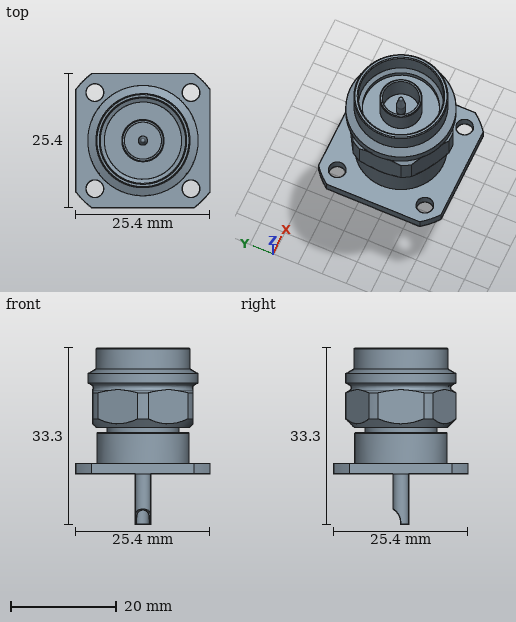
import cadquery as cq
import math


TOTAL_HEIGHT = 33.33

FLANGE_SIDE = 25.4
FLANGE_THICKNESS = 2.0
FLANGE_CORNER_DIAMETER = 31.93
HOLE_DIAMETER = 3.3
HOLE_PITCH = 18.15

BODY_RADIUS = 8.73
BODY_TOP_Z = 7.85
EDGE_CHAMFER = 0.2
NECK_RADIUS = 6.83

CONE_ANGLE = math.radians(30)
HEX_ACROSS_FLATS = 19.0
NUT_RADIUS = 10.43
NUT_BOTTOM_Z = 8.75
NUT_BOTTOM_CHAMFER = 1.63
GROOVE_Z = 16.25
GROOVE_RADIUS = 9.4
GROOVE_ARC_RADIUS = 0.6
COLLAR_TOP_Z = 18.93
RIM_RADIUS = 8.9
RIM_TOP_Z = 23.8

SOCKET_RADIUS = 8.05
SHOULDER_Z = 19.73
SHOULDER_DROP = 0.55
SEAT_RADIUS = 7.3
SOCKET_FLOOR_Z = 18.15

SLEEVE_OUTER_RADIUS = 4.0
SLEEVE_INNER_RADIUS = 3.5
SLEEVE_CHAMFER = 0.15
SLEEVE_TOP_Z = 23.0
SLEEVE_FLOOR_Z = 17.8

CONTACT_RADIUS = 0.85
CONTACT_TIP_RADIUS = 0.4
CONTACT_TIP_Z = 22.9
CONTACT_CONE_LENGTH = 2.33

TAIL_RADIUS = 1.5
TAIL_LENGTH = TOTAL_HEIGHT - RIM_TOP_Z
CUP_RADIUS = 1.2
CUP_DEPTH = 3.0
CUTAWAY_DEPTH_Y = -0.05
CUTAWAY_ARC_RADIUS = 3.0
CUTAWAY_ARC_Z = -9.2


def cylinder(radius, bottom_z, top_z):
    return cq.Workplane("XY").workplane(offset=bottom_z).circle(radius).extrude(top_z - bottom_z)


def make_flange():
    blank = cq.Workplane("XY").rect(FLANGE_SIDE, FLANGE_SIDE).extrude(FLANGE_THICKNESS)
    rounded = blank.intersect(cylinder(FLANGE_CORNER_DIAMETER / 2, 0, FLANGE_THICKNESS))
    return (
        rounded.faces(">Z").workplane(origin=(0, 0, 0))
        .rect(HOLE_PITCH, HOLE_PITCH, forConstruction=True).vertices()
        .hole(HOLE_DIAMETER)
    )


def make_body():
    body = cylinder(BODY_RADIUS, FLANGE_THICKNESS, BODY_TOP_Z).faces(">Z").chamfer(EDGE_CHAMFER)
    return body.union(cylinder(NECK_RADIUS, BODY_TOP_Z, NUT_BOTTOM_Z))


def make_nut():
    tangent_radius = GROOVE_RADIUS + GROOVE_ARC_RADIUS * (1 - math.sin(CONE_ANGLE))
    tangent_height = GROOVE_ARC_RADIUS * math.cos(CONE_ANGLE)
    groove_half_width = tangent_height + (NUT_RADIUS - tangent_radius) * math.tan(CONE_ANGLE)
    collar_cone_height = (NUT_RADIUS - RIM_RADIUS) * math.tan(CONE_ANGLE)

    turned = (
        cq.Workplane("XZ")
        .moveTo(0, NUT_BOTTOM_Z)
        .lineTo(NUT_RADIUS - NUT_BOTTOM_CHAMFER, NUT_BOTTOM_Z)
        .lineTo(NUT_RADIUS, NUT_BOTTOM_Z + NUT_BOTTOM_CHAMFER)
        .lineTo(NUT_RADIUS, GROOVE_Z - groove_half_width)
        .lineTo(tangent_radius, GROOVE_Z - tangent_height)
        .threePointArc((GROOVE_RADIUS, GROOVE_Z), (tangent_radius, GROOVE_Z + tangent_height))
        .lineTo(NUT_RADIUS, GROOVE_Z + groove_half_width)
        .lineTo(NUT_RADIUS, COLLAR_TOP_Z)
        .lineTo(RIM_RADIUS, COLLAR_TOP_Z + collar_cone_height)
        .lineTo(RIM_RADIUS, RIM_TOP_Z - EDGE_CHAMFER)
        .lineTo(RIM_RADIUS - EDGE_CHAMFER, RIM_TOP_Z)
        .lineTo(0, RIM_TOP_Z)
        .close()
        .revolve(360, (0, 0, 0), (0, 1, 0))
    )

    hex_prism = (
        cq.Workplane("XY").workplane(offset=NUT_BOTTOM_Z)
        .polygon(6, HEX_ACROSS_FLATS, circumscribed=True)
        .extrude(GROOVE_Z - NUT_BOTTOM_Z)
    )
    flats_cutter = cylinder(HEX_ACROSS_FLATS, NUT_BOTTOM_Z, GROOVE_Z).cut(hex_prism)
    return turned.cut(flats_cutter)


def make_socket():
    return (
        cq.Workplane("XZ")
        .moveTo(0, SOCKET_FLOOR_Z)
        .lineTo(SEAT_RADIUS, SOCKET_FLOOR_Z)
        .lineTo(SEAT_RADIUS, SHOULDER_Z - SHOULDER_DROP)
        .lineTo(SOCKET_RADIUS, SHOULDER_Z)
        .lineTo(SOCKET_RADIUS, RIM_TOP_Z - EDGE_CHAMFER)
        .lineTo(SOCKET_RADIUS + EDGE_CHAMFER, RIM_TOP_Z)
        .lineTo(0, RIM_TOP_Z)
        .close()
        .revolve(360, (0, 0, 0), (0, 1, 0))
    )


def make_sleeve():
    sleeve = cylinder(SLEEVE_OUTER_RADIUS, SOCKET_FLOOR_Z, SLEEVE_TOP_Z)
    return sleeve.faces(">Z").chamfer(SLEEVE_CHAMFER)


def make_contact():
    tip_center_z = CONTACT_TIP_Z - CONTACT_TIP_RADIUS
    diagonal = CONTACT_TIP_RADIUS * math.sqrt(0.5)
    return (
        cq.Workplane("XZ")
        .moveTo(0, SLEEVE_FLOOR_Z)
        .lineTo(CONTACT_RADIUS, SLEEVE_FLOOR_Z)
        .lineTo(CONTACT_RADIUS, tip_center_z - CONTACT_CONE_LENGTH)
        .lineTo(CONTACT_TIP_RADIUS, tip_center_z)
        .threePointArc((diagonal, tip_center_z + diagonal), (0, CONTACT_TIP_Z))
        .close()
        .revolve(360, (0, 0, 0), (0, 1, 0))
    )


def make_tail():
    tail = cylinder(TAIL_RADIUS, -TAIL_LENGTH, 0)
    cup = cylinder(CUP_RADIUS, -TAIL_LENGTH, -TAIL_LENGTH + CUP_DEPTH)

    arc_center_y = CUTAWAY_DEPTH_Y - CUTAWAY_ARC_RADIUS
    diagonal = CUTAWAY_ARC_RADIUS * math.sqrt(0.5)
    cutaway = (
        cq.Workplane("YZ")
        .moveTo(CUTAWAY_DEPTH_Y, -TAIL_LENGTH)
        .lineTo(CUTAWAY_DEPTH_Y, CUTAWAY_ARC_Z)
        .threePointArc(
            (arc_center_y + diagonal, CUTAWAY_ARC_Z + diagonal),
            (arc_center_y, CUTAWAY_ARC_Z + CUTAWAY_ARC_RADIUS),
        )
        .lineTo(arc_center_y, -TAIL_LENGTH)
        .close()
        .extrude(TAIL_RADIUS, both=True)
    )
    return tail.cut(cup).cut(cutaway)


shell = make_flange().union(make_body()).union(make_nut()).cut(make_socket())
sleeve_bore = cylinder(SLEEVE_INNER_RADIUS, SLEEVE_FLOOR_Z, SLEEVE_TOP_Z)
result = shell.union(make_sleeve()).cut(sleeve_bore).union(make_contact()).union(make_tail())